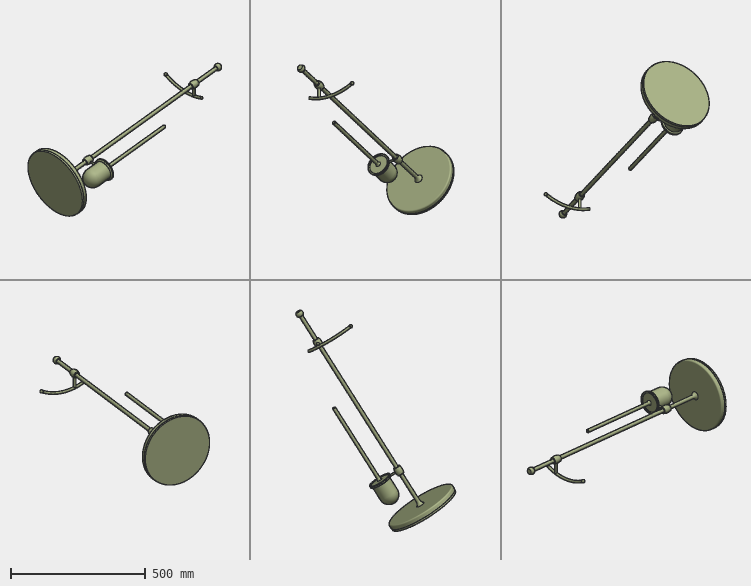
import cadquery as cq
import math

TOTAL_LENGTH = 900.0
BASE_DIAMETER = 280.0
BASE_THICKNESS = 25.0
BASE_TOP_ROUND = 5.0
FOOT_DIAMETER = 278.0
FOOT_THICKNESS = 8.0
POLE_RADIUS = 7.5
FLARE_RADIUS = 16.0
FLARE_HEIGHT = 19.0
FLARE_MIDDLE_SPREAD = 0.3
FLARE_MIDDLE_LEVEL = 0.4
KNOB_RADIUS = 14.0
KNOB_HEIGHT = 20.0

COLLAR_LENGTH = 31.5
COLLAR_END_RADIUS = 13.0
COLLAR_MIDDLE_RADIUS = 15.0

HOOK_Y = 759.0
BAR_RADIUS = 5.0
BAR_TIP = (-143.0, -39.0)
BAR_LOW_POINT = (-47.0, -64.0)
BAR_END_X = 40.5
BALL_RADIUS = 6.75

HOLDER_Y = 180.0
CONTAINER_X = 80.0
ARM_RADIUS = 3.9
RING_RADIUS = 40.5

CONTAINER_RADIUS = 38.0
DOME_CENTER_Y = 120.0

LID_DIAMETER = 89.0
LID_THICKNESS = 3.0
HANDLE_RADIUS = 6.75
HANDLE_END_Y = 514.0
HANDLE_END_CHAMFER = 2.0
HANDLE_FLARE_RADIUS = 10.0
HANDLE_FLARE_HEIGHT = 10.0

RING_TOP_Y = HOLDER_Y + ARM_RADIUS
RING_BOTTOM_Y = HOLDER_Y - ARM_RADIUS


def rod(x, y_start, y_end, radius):
    """Cylinder along Y, centred on (x, z = 0)."""
    length = y_end - y_start
    start = cq.Vector(x, y_start, 0)
    return cq.Workplane(cq.Solid.makeCylinder(radius, length, start, cq.Vector(0, 1, 0)))


def turned(profile):
    """Revolve a half profile in the XY plane about the Y axis."""
    return profile.close().revolve(360, (0, 0, 0), (0, 1, 0))


def flare(y_start, foot_radius, neck_radius, height):
    """Concave transition from a wide foot to a narrow neck."""
    middle_radius = neck_radius + FLARE_MIDDLE_SPREAD * (foot_radius - neck_radius)
    middle_y = y_start + FLARE_MIDDLE_LEVEL * height
    return turned(
        cq.Workplane("XY")
        .moveTo(0, y_start)
        .lineTo(foot_radius, y_start)
        .threePointArc((middle_radius, middle_y), (neck_radius, y_start + height))
        .lineTo(0, y_start + height)
    )


def collar(y):
    """Solid barrel centred on the pole axis at the given height."""
    half = COLLAR_LENGTH / 2
    return turned(
        cq.Workplane("XY")
        .moveTo(0, y - half)
        .lineTo(COLLAR_END_RADIUS, y - half)
        .threePointArc((COLLAR_MIDDLE_RADIUS, y), (COLLAR_END_RADIUS, y + half))
        .lineTo(0, y + half)
    )


def pole_bore(y):
    """Tool that clears the pole from a collar."""
    return rod(0, y - COLLAR_LENGTH, y + COLLAR_LENGTH, POLE_RADIUS)


def make_stand():
    foot = rod(0, 0, FOOT_THICKNESS, FOOT_DIAMETER / 2)
    base = rod(0, FOOT_THICKNESS, BASE_THICKNESS, BASE_DIAMETER / 2)
    base = base.faces(">Y").edges().fillet(BASE_TOP_ROUND)
    knob_y = TOTAL_LENGTH - KNOB_HEIGHT / 2
    knob_end_radius = math.sqrt(KNOB_RADIUS**2 - (KNOB_HEIGHT / 2) ** 2)
    knob = turned(
        cq.Workplane("XY")
        .moveTo(0, TOTAL_LENGTH - KNOB_HEIGHT)
        .lineTo(knob_end_radius, TOTAL_LENGTH - KNOB_HEIGHT)
        .threePointArc((KNOB_RADIUS, knob_y), (knob_end_radius, TOTAL_LENGTH))
        .lineTo(0, TOTAL_LENGTH)
    )
    return (
        base.union(foot)
        .union(rod(0, 0, TOTAL_LENGTH - KNOB_HEIGHT / 2, POLE_RADIUS))
        .union(flare(BASE_THICKNESS, FLARE_RADIUS, POLE_RADIUS, FLARE_HEIGHT))
        .union(knob)
    )


def make_hook():
    tip_x, tip_z = BAR_TIP
    low_x, low_z = BAR_LOW_POINT
    sag = tip_z - low_z
    arc_radius = ((tip_x - low_x) ** 2 + sag**2) / (2 * sag)
    arc_center_z = low_z + arc_radius

    def bar_z(x):
        """Z of the bar's centre line at x."""
        return arc_center_z - math.sqrt(arc_radius**2 - (x - low_x) ** 2)

    path = (
        cq.Workplane("XZ", origin=(0, HOOK_Y, 0))
        .moveTo(*BAR_TIP)
        .threePointArc(BAR_LOW_POINT, (BAR_END_X, bar_z(BAR_END_X)))
    )
    tip_direction = (arc_center_z - tip_z, 0, tip_x - low_x)
    tip_plane = cq.Plane((tip_x, HOOK_Y, tip_z), (0, 1, 0), tip_direction)
    bar = cq.Workplane(tip_plane).circle(BAR_RADIUS).sweep(path)
    ball = cq.Workplane("XY").sphere(BALL_RADIUS).translate((tip_x, HOOK_Y, tip_z))
    stem = cq.Workplane("XY", origin=(0, HOOK_Y, 0)).circle(BAR_RADIUS).extrude(bar_z(0))
    return collar(HOOK_Y).union(stem).union(bar).union(ball).cut(pole_bore(HOOK_Y))


def make_holder():
    ring_center = cq.Vector(CONTAINER_X, HOLDER_Y, 0)
    ring = cq.Workplane(cq.Solid.makeTorus(RING_RADIUS, ARM_RADIUS, ring_center, cq.Vector(0, 1, 0)))
    arm = cq.Workplane("YZ", origin=(0, HOLDER_Y, 0)).circle(ARM_RADIUS).extrude(CONTAINER_X - RING_RADIUS)
    container_hole = rod(CONTAINER_X, RING_BOTTOM_Y, RING_TOP_Y, CONTAINER_RADIUS)
    return collar(HOLDER_Y).union(arm).union(ring).cut(container_hole).cut(pole_bore(HOLDER_Y))


def make_container():
    dome = cq.Workplane("XY").sphere(CONTAINER_RADIUS).translate((CONTAINER_X, DOME_CENTER_Y, 0))
    return rod(CONTAINER_X, DOME_CENTER_Y, RING_TOP_Y, CONTAINER_RADIUS).union(dome)


def make_brush():
    lid_top_y = RING_TOP_Y + LID_THICKNESS
    lid = rod(CONTAINER_X, RING_TOP_Y, lid_top_y, LID_DIAMETER / 2)
    handle = rod(CONTAINER_X, RING_TOP_Y, HANDLE_END_Y, HANDLE_RADIUS)
    handle = handle.faces(">Y").edges().chamfer(HANDLE_END_CHAMFER)
    foot = flare(lid_top_y, HANDLE_FLARE_RADIUS, HANDLE_RADIUS, HANDLE_FLARE_HEIGHT)
    return lid.union(handle).union(foot.translate((CONTAINER_X, 0, 0)))


stand = make_stand()
hook = make_hook()
holder = make_holder()
container = make_container()
brush = make_brush()

bodies = [stand, hook, holder, container, brush]
result = cq.Compound.makeCompound([body.val().Solids()[0] for body in bodies])